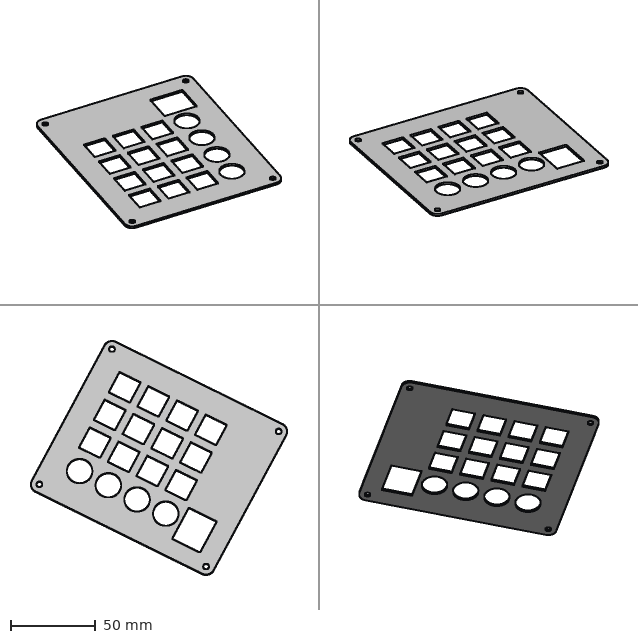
import cadquery as cq

PLATE_LENGTH = 120.5
PLATE_WIDTH = 103.5
PLATE_THICKNESS = 1.5
CORNER_RADIUS = 5.0

MOUNT_HOLE_DIAMETER = 3.4
MOUNT_SPACING_X = PLATE_LENGTH - 2 * CORNER_RADIUS
MOUNT_SPACING_Y = PLATE_WIDTH - 2 * CORNER_RADIUS

KEY_SIZE = 14.0
KEY_PITCH_X = 19.05
KEY_PITCH_Y = 19.15
KEY_COLUMNS = 4
KEY_ROWS = 3
KEY_GRID_X = 9.3
KEY_GRID_Y = -10.15

KNOB_DIAMETER = 15.0
KNOB_ROW_Y = 28.65

WINDOW_LENGTH = 18.5
WINDOW_WIDTH = 21.5
WINDOW_X = -38.9
WINDOW_Y = 30.0


def make_plate():
    """Flat plate with rounded vertical corners."""
    plate = cq.Workplane("XY").box(
        PLATE_LENGTH, PLATE_WIDTH, PLATE_THICKNESS, centered=(True, True, False)
    )
    return plate.edges("|Z").fillet(CORNER_RADIUS)


def top_plane(plate, x=0, y=0):
    """Workplane on the top face with its origin at the given X and Y."""
    return plate.faces(">Z").workplane(origin=(x, y, PLATE_THICKNESS))


def cut_mount_holes(plate):
    """Through hole at each corner."""
    pattern = top_plane(plate).rect(MOUNT_SPACING_X, MOUNT_SPACING_Y, forConstruction=True)
    return pattern.vertices().hole(MOUNT_HOLE_DIAMETER)


def cut_key_openings(plate):
    """Grid of square through openings."""
    grid = top_plane(plate, KEY_GRID_X, KEY_GRID_Y).rarray(
        KEY_PITCH_X, KEY_PITCH_Y, KEY_COLUMNS, KEY_ROWS
    )
    return grid.rect(KEY_SIZE, KEY_SIZE).cutThruAll()


def cut_knob_openings(plate):
    """Single row of round through openings, aligned with the key columns."""
    row = top_plane(plate, KEY_GRID_X, KNOB_ROW_Y).rarray(KEY_PITCH_X, KEY_PITCH_Y, KEY_COLUMNS, 1)
    return row.hole(KNOB_DIAMETER)


def cut_window(plate):
    """Rectangular through opening."""
    return top_plane(plate, WINDOW_X, WINDOW_Y).rect(WINDOW_LENGTH, WINDOW_WIDTH).cutThruAll()


result = make_plate()
result = cut_mount_holes(result)
result = cut_key_openings(result)
result = cut_knob_openings(result)
result = cut_window(result)